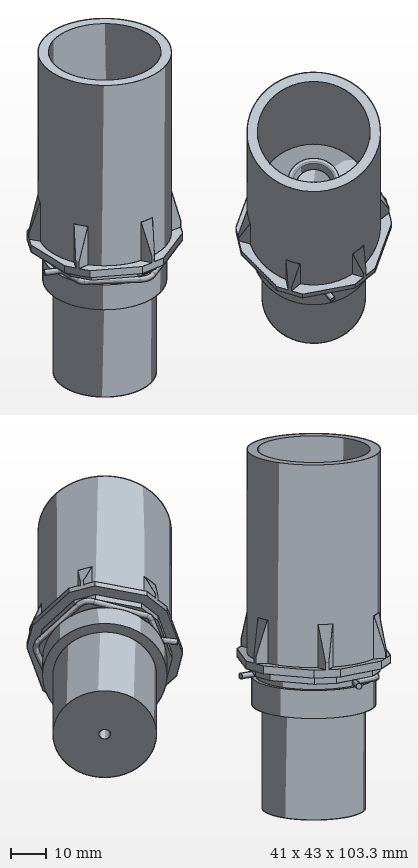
import cadquery as cq
import math

collar_bottom = 30.0
groove_bottom = 38.0
lower_flange_bottom = 40.2
upper_flange_bottom = 42.7
upper_flange_top = 44.9
rib_tip_height = 47.0
rib_top_height = 57.3
cone_tip_height = 72.3
total_height = 103.3

lower_tube_diameter = 29.0
collar_diameter = 34.8
groove_diameter = 32.3
upper_tube_diameter = 37.4

lower_flange_flats = 35.4
lower_flange_corners = 37.3
upper_flange_flats = 41.0
upper_flange_corners = 43.0
flange_sides = 6
corner_angle = 180 / flange_sides

rib_root_width = 4.2
rib_tip_width = 0.9
rib_embed = 1.5

bore_diameter = 31.5
cone_tip_diameter = 14.5
mouth_diameter = 11.9
dish_diameter = 10.0
nozzle_hole_diameter = 3.2
cone_slope = 44
mouth_slope = 70
dish_slope = 18
mouth_fillet = 0.5

wire_diameter = 1.7
clip_height = (groove_bottom + lower_flange_bottom) / 2
closed_side_x = 17.4
closed_corner_y = 10.5
apex_y = 18.7
kink_x = 7.3
kink_y = 14.8
flare_length = 5.0
flare_angle = 35
corner_bend_radius = 4.1
apex_bend_radius = 1.8
kink_bend_radius = 1.5


def cylinder(bottom, top, diameter):
    return cq.Workplane("XY").workplane(offset=bottom).circle(diameter / 2).extrude(top - bottom)


def cone_rise(slope, large_diameter, small_diameter):
    """Height of a cone whose surface is inclined to the horizontal by the slope in degrees."""
    return (large_diameter - small_diameter) / 2 * math.tan(math.radians(slope))


def make_flange(bottom, top, flats, corners):
    """Hexagon with flats facing +X and -X, its corners cut off by a second, turned hexagon."""
    base = cq.Workplane("XY").workplane(offset=bottom)
    hexagon = base.polygon(flange_sides, flats, circumscribed=True).extrude(top - bottom)
    corner_cut = (
        base.transformed(rotate=(0, 0, corner_angle))
        .polygon(flange_sides, corners, circumscribed=True)
        .extrude(top - bottom)
    )
    return hexagon.intersect(corner_cut)


def make_rib(angle):
    """Rib with a tapering plan and a sloping outer face, pointing outwards at the given angle."""
    tube_radius = upper_tube_diameter / 2
    root = tube_radius - rib_embed
    tip = upper_flange_corners / 2
    half_root = rib_root_width / 2
    half_tip = rib_tip_width / 2
    tube_wall = math.sqrt(tube_radius**2 - half_root**2)
    plan_outline = [
        (root, -half_root),
        (tube_wall, -half_root),
        (tip, -half_tip),
        (tip, half_tip),
        (tube_wall, half_root),
        (root, half_root),
    ]
    side_outline = [
        (root, upper_flange_bottom),
        (tip, upper_flange_bottom),
        (tip, rib_tip_height),
        (tube_radius, rib_top_height),
        (root, rib_top_height),
    ]
    plan = (
        cq.Workplane("XY")
        .workplane(offset=upper_flange_bottom)
        .polyline(plan_outline)
        .close()
        .extrude(rib_top_height - upper_flange_bottom)
    )
    side = cq.Workplane("XZ").polyline(side_outline).close().extrude(half_root, both=True)
    return plan.intersect(side).rotate((0, 0, 0), (0, 0, 1), angle)


def make_cavity():
    """Space of the bore, around the raised cone and down through the nozzle hole."""
    cone_foot_height = cone_tip_height - cone_rise(cone_slope, bore_diameter, cone_tip_diameter)
    dish_height = cone_tip_height - cone_rise(mouth_slope, mouth_diameter, dish_diameter)
    hole_top = dish_height - cone_rise(dish_slope, dish_diameter, nozzle_hole_diameter)
    outline = [
        (0, 0),
        (nozzle_hole_diameter / 2, 0),
        (nozzle_hole_diameter / 2, hole_top),
        (dish_diameter / 2, dish_height),
        (mouth_diameter / 2, cone_tip_height),
        (cone_tip_diameter / 2, cone_tip_height),
        (bore_diameter / 2, cone_foot_height),
        (bore_diameter / 2, total_height),
        (0, total_height),
    ]
    space = cq.Workplane("XZ").polyline(outline).close().revolve(360, (0, 0), (0, 1))
    third_smallest = cq.selectors.RadiusNthSelector(2)
    return space.edges(third_smallest).fillet(mouth_fillet)


def make_body():
    body = (
        cylinder(0, collar_bottom, lower_tube_diameter)
        .union(cylinder(collar_bottom, groove_bottom, collar_diameter))
        .union(cylinder(groove_bottom, lower_flange_bottom, groove_diameter))
        .union(make_flange(lower_flange_bottom, upper_flange_bottom, lower_flange_flats, lower_flange_corners))
        .union(make_flange(upper_flange_bottom, upper_flange_top, upper_flange_flats, upper_flange_corners))
        .union(cylinder(upper_flange_top, total_height, upper_tube_diameter))
    )
    for corner in range(flange_sides):
        body = body.union(make_rib(corner_angle + corner * 360 / flange_sides))
    return body.cut(make_cavity())


def make_clip():
    """Round wire swept along a path that is symmetric about the XZ plane."""
    end_x = kink_x + flare_length * math.cos(math.radians(flare_angle))
    end_y = kink_y + flare_length * math.sin(math.radians(flare_angle))
    front_half = [(-end_x, -end_y), (-kink_x, -kink_y), (0, -apex_y), (closed_side_x, -closed_corner_y)]
    back_half = [(x, -y) for x, y in reversed(front_half)]
    path = cq.Wire.makePolygon([cq.Vector(x, y, clip_height) for x, y in front_half + back_half])

    bends = [
        (-kink_x, kink_y, kink_bend_radius),
        (0, apex_y, apex_bend_radius),
        (closed_side_x, closed_corner_y, corner_bend_radius),
    ]
    for x, y, radius in bends:
        corners = [
            min(path.Vertices(), key=lambda v: math.dist((v.X, v.Y), (x, side * y))) for side in (-1, 1)
        ]
        path = path.fillet2D(radius, corners)

    end_plane = cq.Plane(path.startPoint(), xDir=(0, 0, 1), normal=path.tangentAt(0))
    return cq.Workplane(end_plane).circle(wire_diameter / 2).sweep(cq.Workplane(path))


clip = make_clip()
body = make_body().cut(clip)

result = cq.Compound.makeCompound([body.val(), clip.val()])